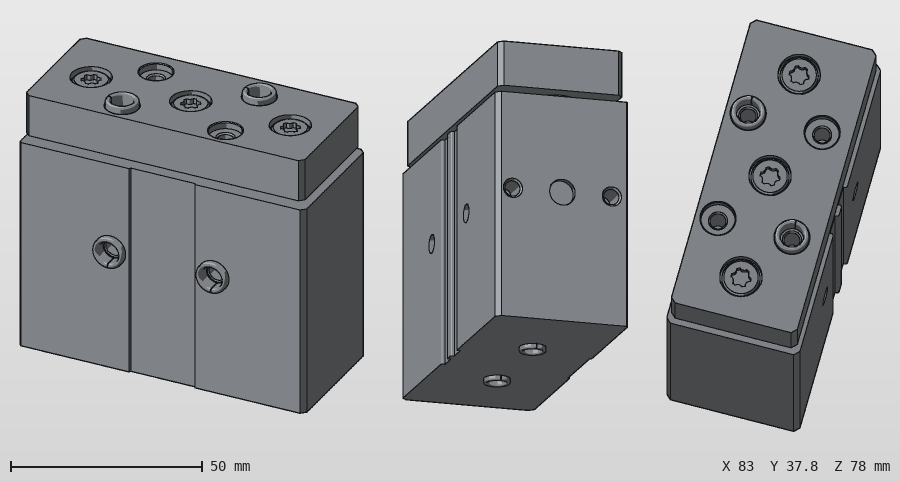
import cadquery as cq
import math


HOUSING_WIDTH = 83.0
HOUSING_DEPTH = 36.0
HOUSING_HEIGHT = 60.9
CORNER_CHAMFER = 1.3
SMALL_CORNER_CHAMFER = 0.5

FRONT_RECESS_WIDTH = 19.25
FRONT_RECESS_DEPTH = 0.5
FRONT_RECESS_SLOPE_RUN = 0.3

BACK_RECESS_WIDTH = 13.2
BACK_RECESS_DEPTH = 1.0
BACK_RIB_WIDTH = 3.2
BACK_EDGE_FILLET = 0.7

YOKE_GAP = 2.0
PLATE_MARGIN = 1.0
PLATE_THICKNESS = 12.0
ROD_Y = -1.0
ROD_SPACING = 29.0
GUIDE_ROD_DIAMETER = 14.0
PISTON_ROD_DIAMETER = 9.0

SCREW_BORE_DIAMETER = 11.0
SCREW_BORE_DEPTH = 1.8
SCREW_HEAD_DIAMETER = 10.0
SCREW_HEAD_DROP = 0.7
SCREW_HEAD_CHAMFER = 0.5
SOCKET_TIP_RADIUS = 2.615
SOCKET_VALLEY_RADIUS = 2.1
SOCKET_TIP_HALF_ANGLE = 10.0
SOCKET_LOBES = 6
FIRST_LOBE_ANGLE = 90.0
SOCKET_DEPTH = 1.5

THREAD_DIAMETER = 4.15
SIDE_MOUTH_DIAMETER = 5.2
PLATE_MOUTH_DIAMETER = 5.0
SIDE_HOLE_DEPTH = 8.3
SIDE_HOLE_SPACING = 27.05
DRILL_TIP_ANGLE = 118.0

SLEEVE_SLIT = 0.2
SLIT_LEFT = 180.0
SLIT_DOWN = -90.0
LARGE_SLEEVE = {"outer": 9.0, "inner": 6.2, "seat": 2.0, "proud": 1.8}
SMALL_SLEEVE = {"outer": 7.0, "inner": 5.2, "seat": 1.7, "proud": 1.3}
PLATE_SEAT_MOUTH_DIAMETER = 9.5
SEAT_SPACING_X = 30.05
SEAT_SPACING_Y = 20.0
BOTTOM_SLEEVE_SPACING = 31.05
MOUNTING_HOLE_DIAMETER = 4.9
MOUNTING_MOUTH_DIAMETER = 5.6
MOUNTING_HOLE_DROP = 26.0

HALF_WIDTH = HOUSING_WIDTH / 2
HALF_DEPTH = HOUSING_DEPTH / 2
MOUNTING_Z = HOUSING_HEIGHT - MOUNTING_HOLE_DROP
PLATE_BOTTOM = HOUSING_HEIGHT + YOKE_GAP
PLATE_TOP = PLATE_BOTTOM + PLATE_THICKNESS
SEAT_X = SEAT_SPACING_X / 2
SEAT_Y = SEAT_SPACING_Y / 2

ROD_POINTS = [(x, ROD_Y) for x in (-ROD_SPACING, 0, ROD_SPACING)]
GUIDE_ROD_POINTS = [ROD_POINTS[0], ROD_POINTS[2]]
PISTON_ROD_POINT = ROD_POINTS[1]
PLATE_SEAT_POINTS = [(x, ROD_Y + y) for x in (-SEAT_X, SEAT_X) for y in (-SEAT_Y, SEAT_Y)]
PLATE_SLEEVE_POINTS = [(-SEAT_X, ROD_Y - SEAT_Y), (SEAT_X, ROD_Y + SEAT_Y)]
BOTTOM_SLEEVE_POINTS = [(-BOTTOM_SLEEVE_SPACING / 2, 0), (BOTTOM_SLEEVE_SPACING / 2, 0)]

FRONT_PLANE = cq.Plane(origin=(0, -HALF_DEPTH, MOUNTING_Z), xDir=(1, 0, 0), normal=(0, -1, 0))
LEFT_PLANE = cq.Plane(origin=(-HALF_WIDTH, 0, MOUNTING_Z), xDir=(0, -1, 0), normal=(-1, 0, 0))
BOTTOM_PLANE = cq.Plane(origin=(0, 0, 0), xDir=(1, 0, 0), normal=(0, 0, -1))
PLATE_TOP_PLANE = cq.Plane(origin=(0, 0, PLATE_TOP), xDir=(1, 0, 0), normal=(0, 0, 1))


def round_pocket(plane, points, diameter, depth):
    """Cutters that sink round flat-bottomed pockets into the face on the plane."""
    return cq.Workplane(plane).pushPoints(points).circle(diameter / 2).extrude(-depth)


def countersink(plane, points, mouth_diameter, hole_diameter):
    """Cutters for 45 degree countersinks that narrow from the mouth to the hole."""
    depth = (mouth_diameter - hole_diameter) / 2
    return cq.Workplane(plane).pushPoints(points).circle(mouth_diameter / 2).extrude(-depth, taper=45)


def drilled_hole(plane, point):
    """Cutter for a blind drilled hole with a conical tip."""
    radius = THREAD_DIAMETER / 2
    tip_depth = SIDE_HOLE_DEPTH + radius / math.tan(math.radians(DRILL_TIP_ANGLE / 2))
    profile = [(0, 0), (radius, 0), (radius, -SIDE_HOLE_DEPTH), (0, -tip_depth)]
    hole = cq.Workplane("XZ").polyline(profile).close().revolve(360, (0, 0), (0, 1)).val()
    centred = cq.Workplane(plane).center(*point).plane
    return hole.located(cq.Location(centred))


def back_channels():
    """Cutter for the shallow back recess, which leaves a rounded rib standing in its middle."""
    floor_y = HALF_DEPTH - BACK_RECESS_DEPTH
    half_recess = BACK_RECESS_WIDTH / 2
    half_rib = BACK_RIB_WIDTH / 2
    edge = BACK_EDGE_FILLET
    diagonal = edge * (1 - math.sqrt(0.5))
    channel = (
        cq.Workplane("XY")
        .moveTo(half_rib, floor_y)
        .lineTo(half_rib, HALF_DEPTH - edge)
        .threePointArc((half_rib - diagonal, HALF_DEPTH - diagonal), (half_rib - edge, HALF_DEPTH))
        .lineTo(half_recess + edge, HALF_DEPTH)
        .threePointArc((half_recess + diagonal, HALF_DEPTH - diagonal), (half_recess, HALF_DEPTH - edge))
        .lineTo(half_recess, floor_y)
        .close()
        .extrude(HOUSING_HEIGHT)
    )
    return channel.union(channel.mirror("YZ"))


def front_recess():
    """Cutter for the shallow full-height recess with sloping sides in the front face."""
    mouth = FRONT_RECESS_WIDTH / 2
    floor = mouth - FRONT_RECESS_SLOPE_RUN
    floor_y = FRONT_RECESS_DEPTH - HALF_DEPTH
    outline = [(-mouth, -HALF_DEPTH), (mouth, -HALF_DEPTH), (floor, floor_y), (-floor, floor_y)]
    return cq.Workplane("XY").polyline(outline).close().extrude(HOUSING_HEIGHT)


def make_housing():
    body = cq.Workplane("XY").box(HOUSING_WIDTH, HOUSING_DEPTH, HOUSING_HEIGHT, centered=(True, True, False))
    body = body.edges("|Z and (>X or >Y)").chamfer(CORNER_CHAMFER)
    front_left = cq.selectors.NearestToPointSelector((-HALF_WIDTH, -HALF_DEPTH, HOUSING_HEIGHT / 2))
    body = body.edges(front_left).chamfer(SMALL_CORNER_CHAMFER)
    body = body.cut(front_recess()).cut(back_channels())

    mounting_points = [(-SEAT_X, 0), (SEAT_X, 0)]
    body = body.cut(round_pocket(FRONT_PLANE, mounting_points, MOUNTING_HOLE_DIAMETER, HOUSING_DEPTH))
    body = body.cut(round_pocket(FRONT_PLANE, mounting_points, LARGE_SLEEVE["outer"], LARGE_SLEEVE["seat"]))
    mounting_seat_floor = cq.Workplane(FRONT_PLANE).workplane(offset=-LARGE_SLEEVE["seat"]).plane
    body = body.cut(
        countersink(mounting_seat_floor, mounting_points, MOUNTING_MOUTH_DIAMETER, MOUNTING_HOLE_DIAMETER)
    )

    body = body.cut(round_pocket(LEFT_PLANE, [(0, 0)], SMALL_SLEEVE["outer"], SMALL_SLEEVE["seat"]))
    side_points = [(-SIDE_HOLE_SPACING / 2, 0), (SIDE_HOLE_SPACING / 2, 0)]
    for point in side_points:
        body = body.cut(drilled_hole(LEFT_PLANE, point))
    body = body.cut(countersink(LEFT_PLANE, side_points, SIDE_MOUTH_DIAMETER, THREAD_DIAMETER))

    return body.cut(
        round_pocket(BOTTOM_PLANE, BOTTOM_SLEEVE_POINTS, SMALL_SLEEVE["outer"], SMALL_SLEEVE["seat"])
    )


def polar(radius, degrees):
    angle = math.radians(degrees)
    return (radius * math.cos(angle), radius * math.sin(angle))


def socket_cutter(point):
    """Cutter for a six-lobed screw socket, open at the head top."""
    pitch = 360 / SOCKET_LOBES
    half_tip = SOCKET_TIP_HALF_ANGLE
    outline = cq.Workplane(PLATE_TOP_PLANE).workplane(offset=-SCREW_HEAD_DROP).center(*point)
    outline = outline.moveTo(*polar(SOCKET_TIP_RADIUS, FIRST_LOBE_ANGLE - half_tip))
    for lobe in range(SOCKET_LOBES):
        tip = FIRST_LOBE_ANGLE + lobe * pitch
        outline = outline.threePointArc(
            polar(SOCKET_TIP_RADIUS, tip), polar(SOCKET_TIP_RADIUS, tip + half_tip)
        )
        outline = outline.threePointArc(
            polar(SOCKET_VALLEY_RADIUS, tip + pitch / 2), polar(SOCKET_TIP_RADIUS, tip + pitch - half_tip)
        )
    return outline.close().extrude(-SOCKET_DEPTH)


def make_yoke():
    plate = (
        cq.Workplane("XY")
        .workplane(offset=PLATE_BOTTOM)
        .rect(HOUSING_WIDTH - 2 * PLATE_MARGIN, HOUSING_DEPTH - 2 * PLATE_MARGIN)
        .extrude(PLATE_THICKNESS)
        .edges("|Z")
        .chamfer(CORNER_CHAMFER)
    )

    rod_plane = cq.Workplane("XY").workplane(offset=HOUSING_HEIGHT)
    guide_rods = rod_plane.pushPoints(GUIDE_ROD_POINTS).circle(GUIDE_ROD_DIAMETER / 2).extrude(YOKE_GAP)
    piston_rod = rod_plane.pushPoints([PISTON_ROD_POINT]).circle(PISTON_ROD_DIAMETER / 2).extrude(YOKE_GAP)
    yoke = plate.union(guide_rods).union(piston_rod)

    yoke = yoke.cut(round_pocket(PLATE_TOP_PLANE, ROD_POINTS, SCREW_BORE_DIAMETER, SCREW_BORE_DEPTH))
    heads = (
        cq.Workplane(PLATE_TOP_PLANE)
        .workplane(offset=-SCREW_BORE_DEPTH)
        .pushPoints(ROD_POINTS)
        .circle(SCREW_HEAD_DIAMETER / 2)
        .extrude(SCREW_BORE_DEPTH - SCREW_HEAD_DROP)
        .faces(">Z")
        .chamfer(SCREW_HEAD_CHAMFER)
    )
    yoke = yoke.union(heads)
    for point in ROD_POINTS:
        yoke = yoke.cut(socket_cutter(point))

    seat_depth = LARGE_SLEEVE["seat"]
    seat_floor = cq.Workplane(PLATE_TOP_PLANE).workplane(offset=-seat_depth).plane
    seat_diameter = LARGE_SLEEVE["outer"]
    yoke = yoke.cut(round_pocket(PLATE_TOP_PLANE, PLATE_SEAT_POINTS, seat_diameter, seat_depth))
    yoke = yoke.cut(
        countersink(PLATE_TOP_PLANE, PLATE_SEAT_POINTS, PLATE_SEAT_MOUTH_DIAMETER, seat_diameter)
    )
    yoke = yoke.cut(round_pocket(PLATE_TOP_PLANE, PLATE_SEAT_POINTS, THREAD_DIAMETER, PLATE_THICKNESS))
    return yoke.cut(countersink(seat_floor, PLATE_SEAT_POINTS, PLATE_MOUTH_DIAMETER, THREAD_DIAMETER))


def make_sleeve(size, plane, point, slit_angle):
    """A slit centring sleeve seated in the face on the plane, its proud end rounded over the full wall."""
    inner = size["inner"] / 2
    outer = size["outer"] / 2
    rim_radius = (outer - inner) / 2
    shoulder = size["proud"] - rim_radius
    profile = (
        cq.Workplane("XZ")
        .moveTo(inner, -size["seat"])
        .lineTo(outer, -size["seat"])
        .lineTo(outer, shoulder)
        .threePointArc((inner + rim_radius, size["proud"]), (inner, shoulder))
        .close()
    )
    ring = profile.revolve(360, (0, 0), (0, 1))
    slit = (
        cq.Workplane("XY")
        .workplane(offset=-size["seat"])
        .center((inner + outer) / 2, 0)
        .rect(outer, SLEEVE_SLIT)
        .extrude(size["seat"] + size["proud"])
    )
    sleeve = ring.cut(slit).rotate((0, 0, 0), (0, 0, 1), slit_angle)
    seat_centre = cq.Workplane(plane).center(*point).plane
    return sleeve.val().located(cq.Location(seat_centre))


housing = make_housing()
yoke = make_yoke()
plate_sleeves = [
    make_sleeve(LARGE_SLEEVE, PLATE_TOP_PLANE, point, SLIT_LEFT) for point in PLATE_SLEEVE_POINTS
]
front_sleeves = [
    make_sleeve(LARGE_SLEEVE, FRONT_PLANE, (x, 0), SLIT_DOWN) for x in (-SEAT_X, SEAT_X)
]
bottom_sleeves = [
    make_sleeve(SMALL_SLEEVE, BOTTOM_PLANE, point, SLIT_LEFT) for point in BOTTOM_SLEEVE_POINTS
]
sleeves = plate_sleeves + front_sleeves + bottom_sleeves

result = cq.Compound.makeCompound([housing.val(), yoke.val(), *sleeves])